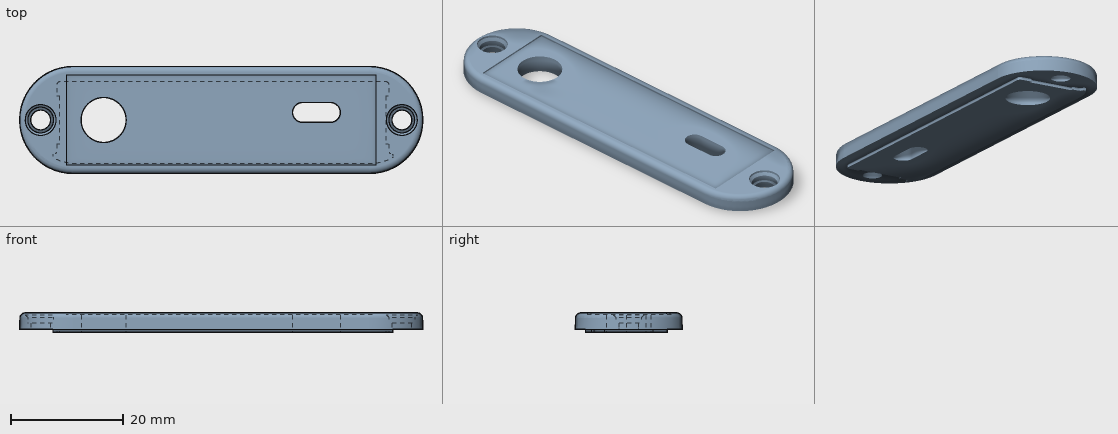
import cadquery as cq
import math

PLATE_LENGTH = 72.04
PLATE_WIDTH = 19.15
PLATE_THICKNESS = 3.0
SIDE_DRAFT = 1.5
TOP_ROUNDING = 1.0

STEP_HEIGHT = 0.5
STEP_LENGTH = 60.7
STEP_SHIFT_X = 0.3
STEP_FRONT_Y = -7.75
STEP_BACK_Y = 6.9
STEP_CORNER_RADIUS = 0.7
STEP_LIP_WIDTH = 0.5
STEP_NOTCH_WIDTH = 8.6
STEP_NOTCH_DEPTH = 0.5

RECESS_LENGTH = 55.3
RECESS_WIDTH = 16.0
RECESS_DEPTH = 0.3

SCREW_SPACING = 64.5
SCREW_DIAMETER = 3.5
SCREW_HEAD_DIAMETER = 5.5
SCREW_HEAD_SINK = 0.4
SCREW_SEAT_DIAMETER = 4.6
SCREW_SEAT_Z = 1.2
SCREW_CONE_HEIGHT = (SCREW_HEAD_DIAMETER - SCREW_SEAT_DIAMETER) / 2

OPENING_DIAMETER = 8.0
OPENING_X = -21.0
SLOT_LENGTH = 8.5
SLOT_WIDTH = 3.5
SLOT_CENTRE = (17.0, 1.35)

BOTTOM_Z = -STEP_HEIGHT
TOP_Z = PLATE_THICKNESS
TOTAL_HEIGHT = TOP_Z - BOTTOM_Z

END_CENTRE_X = (PLATE_LENGTH - PLATE_WIDTH) / 2


def make_plate():
    plate = (
        cq.Workplane("XY")
        .slot2D(PLATE_LENGTH, PLATE_WIDTH)
        .extrude(PLATE_THICKNESS, taper=SIDE_DRAFT)
    )
    return plate.faces(">Z").edges().fillet(TOP_ROUNDING)


def make_step():
    arc_radius = -STEP_FRONT_Y
    lip_x = STEP_LENGTH / 2
    face_x = lip_x - STEP_CORNER_RADIUS
    lip_reach = lip_x - END_CENTRE_X
    lip_y = -math.sqrt(arc_radius**2 - lip_reach**2)
    blend_y = lip_y + STEP_LIP_WIDTH
    face_front_y = blend_y + STEP_CORNER_RADIUS
    face_back_y = STEP_BACK_Y - STEP_CORNER_RADIUS
    corner_x = face_x - STEP_CORNER_RADIUS
    step = (
        cq.Workplane("XY", origin=(0, 0, BOTTOM_Z))
        .moveTo(-END_CENTRE_X, STEP_FRONT_Y)
        .lineTo(END_CENTRE_X, STEP_FRONT_Y)
        .radiusArc((lip_x, lip_y), -arc_radius)
        .lineTo(lip_x, blend_y)
        .radiusArc((face_x, face_front_y), STEP_CORNER_RADIUS)
        .lineTo(face_x, face_back_y)
        .radiusArc((corner_x, STEP_BACK_Y), -STEP_CORNER_RADIUS)
        .lineTo(-corner_x, STEP_BACK_Y)
        .radiusArc((-face_x, face_back_y), -STEP_CORNER_RADIUS)
        .lineTo(-face_x, face_front_y)
        .radiusArc((-lip_x, blend_y), STEP_CORNER_RADIUS)
        .lineTo(-lip_x, lip_y)
        .radiusArc((-END_CENTRE_X, STEP_FRONT_Y), -arc_radius)
        .close()
        .extrude(STEP_HEIGHT)
    )
    notches = (
        cq.Workplane("XY", origin=(0, 0, BOTTOM_Z))
        .pushPoints([(-face_x, 0), (face_x, 0)])
        .rect(2 * STEP_NOTCH_DEPTH, STEP_NOTCH_WIDTH)
        .extrude(STEP_HEIGHT)
    )
    return step.cut(notches).translate((STEP_SHIFT_X, 0, 0))


def make_recess():
    return (
        cq.Workplane("XY", origin=(0, 0, TOP_Z - RECESS_DEPTH))
        .rect(RECESS_LENGTH, RECESS_WIDTH)
        .extrude(RECESS_DEPTH)
    )


def make_screw_hole(x):
    """Revolve the half-profile of bore, seat, cone and head sink about the hole axis."""
    bore_radius = SCREW_DIAMETER / 2
    seat_radius = SCREW_SEAT_DIAMETER / 2
    head_radius = SCREW_HEAD_DIAMETER / 2
    cone_top = TOP_Z - SCREW_HEAD_SINK
    cone_bottom = cone_top - SCREW_CONE_HEIGHT
    return (
        cq.Workplane("XZ")
        .moveTo(0, BOTTOM_Z)
        .lineTo(bore_radius, BOTTOM_Z)
        .lineTo(bore_radius, SCREW_SEAT_Z)
        .lineTo(seat_radius, SCREW_SEAT_Z)
        .lineTo(seat_radius, cone_bottom)
        .lineTo(head_radius, cone_top)
        .lineTo(head_radius, TOP_Z)
        .lineTo(0, TOP_Z)
        .close()
        .revolve(360, (0, 0, 0), (0, 1, 0))
        .translate((x, 0, 0))
    )


def make_openings():
    base = cq.Workplane("XY", origin=(0, 0, BOTTOM_Z))
    opening = base.center(OPENING_X, 0).circle(OPENING_DIAMETER / 2).extrude(TOTAL_HEIGHT)
    slot = base.center(*SLOT_CENTRE).slot2D(SLOT_LENGTH, SLOT_WIDTH).extrude(TOTAL_HEIGHT)
    return opening.union(slot)


result = make_plate().union(make_step()).cut(make_recess()).cut(make_openings())
for side in (-1, 1):
    result = result.cut(make_screw_hole(side * SCREW_SPACING / 2))